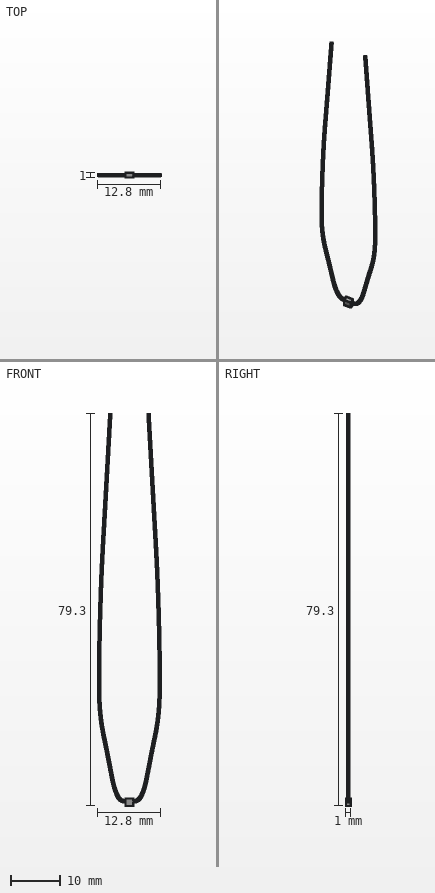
import cadquery as cq
import math

OVERALL_WIDTH = 12.77
OVERALL_HEIGHT = 79.28
WIRE_DIAMETER = 0.5
BLOCK_WIDTH = 1.6
BLOCK_DEPTH = 1.0
BLOCK_HEIGHT = 1.6

WIRE_ENTRY_HEIGHT = 0.96

TIP_LEAN_ANGLE = 3.18

WAIST_HEIGHT = 26.0
LEG_ABOVE_WAIST = [(4.49, 68.0), (5.05, 58.0), (5.54, 49.0), (5.91, 39.0)]
LEG_BELOW_WAIST = [
    (6.05, 21.0),
    (5.59, 16.4),
    (4.59, 11.3),
    (3.6, 6.2),
    (2.64, 2.62),
    (1.69, 1.22),
]

WIRE_RADIUS = WIRE_DIAMETER / 2
WAIST_OFFSET = OVERALL_WIDTH / 2 - WIRE_RADIUS
TIP_LEAN = math.radians(TIP_LEAN_ANGLE)


def make_leg():
    """Right-hand wire leg, swept from its free tip down to the middle of the block."""
    tip_height = OVERALL_HEIGHT - WIRE_RADIUS * math.sin(TIP_LEAN)
    first_offset, first_height = LEG_ABOVE_WAIST[0]
    tip_offset = first_offset - (tip_height - first_height) * math.tan(TIP_LEAN)
    down_the_leg = (math.sin(TIP_LEAN), -math.cos(TIP_LEAN))
    toward_block = (-1, 0)

    centreline = [
        (tip_offset, tip_height),
        *LEG_ABOVE_WAIST,
        (WAIST_OFFSET, WAIST_HEIGHT),
        *LEG_BELOW_WAIST,
        (BLOCK_WIDTH / 2, WIRE_ENTRY_HEIGHT),
    ]
    path = (
        cq.Workplane("XZ")
        .spline(centreline, tangents=[down_the_leg, toward_block])
        .lineTo(0, WIRE_ENTRY_HEIGHT)
    )
    tip_plane = cq.Plane(
        origin=(tip_offset, 0, tip_height),
        xDir=(0, 1, 0),
        normal=(down_the_leg[0], 0, down_the_leg[1]),
    )
    return cq.Workplane(tip_plane).circle(WIRE_RADIUS).sweep(path)


def make_block():
    """Small rectangular block that joins the two legs at the bottom."""
    return cq.Workplane("XY").box(BLOCK_WIDTH, BLOCK_DEPTH, BLOCK_HEIGHT, centered=(True, True, False))


right_leg = make_leg()
left_leg = right_leg.mirror("YZ")
result = make_block().union(right_leg).union(left_leg)